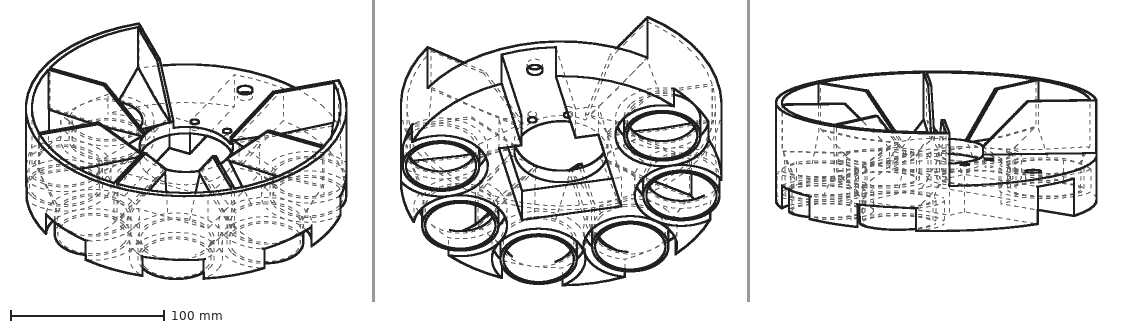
import cadquery as cq
import math

drum_diameter = 209.8
drum_radius = drum_diameter / 2
drum_height = 65.0
rim_thickness = 4.0
hub_diameter = 61.0
hub_radius = hub_diameter / 2

sector_count = 8
sector_angle = 360 / sector_count
cup_angles = [90 + sector_angle * (i + 0.5) for i in range(1, sector_count - 1)]
rib_thickness = 2.0
rib_knee_radius = 60.0
funnel_top = 35.0
funnel_bottom = 15.0

cup_circle_radius = 80.0
cup_bore_diameter = 46.0
cup_outer_diameter = 50.0
cup_clearance_diameter = 61.0

deck_top = 30.0
deck_thickness = 5.0
cavity_height = deck_top - deck_thickness
cavity_half_width = 33.1
cavity_back = 40.0
channel_width = 36.0

large_hole_diameter = 10.0
large_hole_y = 83.7
small_hole_diameter = 5.5
small_hole_x = 12.0
small_hole_y = 35.0


def polar(radius, angle, center_x=0.0):
    """Point at an angle in degrees around (center_x, 0)."""
    turn = math.radians(angle)
    return (center_x + radius * math.cos(turn), radius * math.sin(turn))


def cylinder(diameter, height, x=0.0, y=0.0):
    return cq.Workplane("XY").center(x, y).circle(diameter / 2).extrude(height)


compartment_radius = drum_radius - rim_thickness
half_sector = math.radians(sector_angle / 2)


def sector_outline(height, outer_radius, side_gap=0.0):
    """Ring sector at a height, with its straight sides moved inward by side_gap."""
    inner_turn = sector_angle / 2 - math.degrees(math.asin(side_gap / hub_radius))
    outer_turn = sector_angle / 2 - math.degrees(math.asin(side_gap / outer_radius))
    return (
        cq.Workplane("XY", origin=(0, 0, height))
        .moveTo(*polar(hub_radius, -inner_turn))
        .lineTo(*polar(outer_radius, -outer_turn))
        .threePointArc((outer_radius, 0), polar(outer_radius, outer_turn))
        .lineTo(*polar(hub_radius, inner_turn))
        .threePointArc((hub_radius, 0), polar(hub_radius, -inner_turn))
        .close()
    )


def bore_outline(height):
    """Bore circle split into four arcs in the same proportions as the sides of the sector."""
    side_length = compartment_radius - hub_radius
    perimeter = 2 * side_length + 2 * half_sector * (compartment_radius + hub_radius)
    outer_turn = 360 * half_sector * compartment_radius / perimeter
    inner_turn = 180 - 360 * half_sector * hub_radius / perimeter
    side_turn = (outer_turn + inner_turn) / 2

    def on_bore(angle):
        return polar(cup_bore_diameter / 2, angle, cup_circle_radius)

    return (
        cq.Workplane("XY", origin=(0, 0, height))
        .moveTo(*on_bore(-inner_turn))
        .threePointArc(on_bore(-side_turn), on_bore(-outer_turn))
        .threePointArc(on_bore(0), on_bore(outer_turn))
        .threePointArc(on_bore(side_turn), on_bore(inner_turn))
        .threePointArc(on_bore(180), on_bore(-inner_turn))
        .close()
    )


def make_compartment():
    """Straight compartment between two ribs."""
    outline = sector_outline(funnel_top, compartment_radius, rib_thickness / 2)
    return outline.extrude(drum_height - funnel_top)


def make_funnel():
    """Blend from the full sector down to the round bore, trimmed at the faces of the ribs."""
    sector_wire = sector_outline(funnel_top, compartment_radius).wires().val()
    bore_wire = bore_outline(funnel_bottom).wires().val()
    blend = cq.Workplane(cq.Solid.makeLoft([bore_wire, sector_wire], True))
    between_ribs = sector_outline(funnel_bottom, drum_radius, rib_thickness / 2)
    return blend.intersect(between_ribs.extrude(funnel_top - funnel_bottom))


def make_cup_clearance():
    """Ring-shaped recess that frees the outside of a cup."""
    ring = cylinder(cup_clearance_diameter, funnel_bottom, cup_circle_radius)
    return ring.cut(cylinder(cup_outer_diameter, funnel_bottom, cup_circle_radius))


def make_rib_slope():
    """Cone that slopes the rib tops down to the hub."""
    return (
        cq.Workplane("XZ")
        .moveTo(0, funnel_top)
        .lineTo(hub_radius, funnel_top)
        .lineTo(rib_knee_radius, drum_height)
        .lineTo(0, drum_height)
        .close()
        .revolve(360, (0, 0), (0, 1))
    )


def make_deck_opening():
    """Quarter above the deck, bounded by the outer faces of the two end ribs."""
    apex_y = rib_thickness / 2 * math.sqrt(2)
    reach = drum_diameter
    return (
        cq.Workplane("XY", origin=(0, 0, deck_top))
        .polyline([(0, apex_y), (reach, apex_y + reach), (-reach, apex_y + reach)])
        .close()
        .extrude(drum_height - deck_top)
    )


def make_cavity():
    """Box around the hub with a channel leading out through the +Y wall."""
    from_front_edge = (True, False, False)
    box_length = cavity_half_width + cavity_back
    box = cq.Workplane("XY").box(2 * cavity_half_width, box_length, cavity_height, centered=from_front_edge)
    channel = cq.Workplane("XY").box(channel_width, drum_radius, cavity_height, centered=from_front_edge)
    return box.translate((0, -cavity_half_width, 0)).union(channel)


result = cylinder(drum_diameter, drum_height)

cup_bore = cylinder(cup_bore_diameter, funnel_bottom, cup_circle_radius)
compartment_cutters = [make_compartment(), make_funnel(), cup_bore, make_cup_clearance()]
for cup_angle in cup_angles:
    for cutter in compartment_cutters:
        result = result.cut(cutter.rotate((0, 0, 0), (0, 0, 1), cup_angle))

result = result.cut(make_rib_slope()).cut(make_deck_opening()).cut(make_cavity())
result = result.cut(cylinder(hub_diameter, drum_height))

result = result.cut(cylinder(large_hole_diameter, drum_height, 0, large_hole_y))
for hole_x in (-small_hole_x, small_hole_x):
    result = result.cut(cylinder(small_hole_diameter, drum_height, hole_x, small_hole_y))